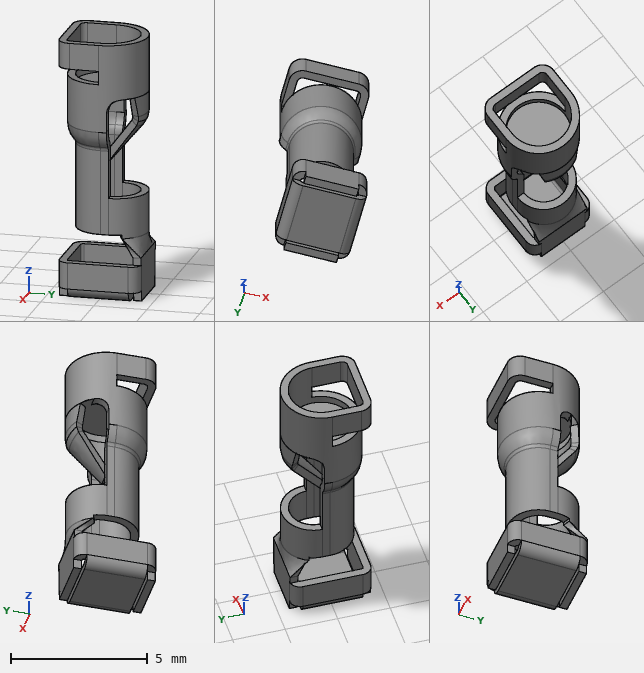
import cadquery as cq
import math

wall = 0.3
barrel_radius = 1.5
neck_radius = barrel_radius - wall
front_face_y = -1.6

total_height = 9.8
collar_bottom = 8.81
slot_bottom = 8.3
window_top = 7.7
barrel_bottom = 6.48
shoulder_crease = 5.84
neck_top = 5.69
band_top = 3.89
neck_bottom = 2.49
box_top = 1.38
box_wall_bottom = 0.38

collar_corner = 0.5
window_edge_y = wall
window_corner = 0.5

lance_bend_start = 6.95
lance_bend_radius = 0.735
lance_tilt = 40
lance_leg = 1.9
lance_root_angle = 36
lance_bend_angle = 29
lance_bend_end_angle = 25
lance_tip_angle = 10

strip_half_width = 1.1
twist_top = 2.35
twist_bottom = 1.67

box_half_width = 1.4
box_corner = 0.4
tab_half_width = box_half_width - box_corner
overlap = 0.01
cutter_size = 5.88


def block(x0, x1, y0, y1, z0, z1):
    return cq.Workplane("XY").box(x1 - x0, y1 - y0, z1 - z0, centered=False).translate((x0, y0, z0))


def rounded_tube(half_width, y0, y1, z0, z1, corner):
    """Rectangular tube with one wall thickness and rounded vertical edges."""
    outer = block(-half_width, half_width, y0, y1, z0, z1).edges("|Z").fillet(corner)
    inner_half = half_width - wall
    inner = block(-inner_half, inner_half, y0 + wall, y1 - wall, z0, z1)
    return outer.cut(inner.edges("|Z").fillet(corner - wall))


def d_prism(radius, front_y, corner, z0, z1):
    """Half disc behind Y = 0 joined to a square front with rounded corners."""
    front = block(-radius, radius, front_y, 0, z0, z1).edges("|Z and <Y").fillet(corner)
    disc = cq.Workplane("XY", origin=(0, 0, z0)).circle(radius).extrude(z1 - z0)
    return front.union(disc)


def make_collar():
    outer = d_prism(barrel_radius, front_face_y, collar_corner, collar_bottom, total_height)
    inner = d_prism(
        neck_radius, front_face_y + wall, collar_corner - wall, collar_bottom, total_height
    )
    return outer.cut(inner)


def make_barrel():
    """Round barrel, slotted at the front below the collar, with a closed floor."""
    ring = (
        cq.Workplane("XY", origin=(0, 0, barrel_bottom))
        .circle(barrel_radius)
        .circle(neck_radius)
        .extrude(collar_bottom - barrel_bottom)
    )
    slot = block(-barrel_radius, barrel_radius, -barrel_radius, 0, slot_bottom, collar_bottom)
    floor = cq.Workplane("XY", origin=(0, 0, window_top)).circle(neck_radius + overlap).extrude(wall)
    window_height = window_top - barrel_bottom
    window = (
        cq.Workplane("XY")
        .box(cutter_size, cutter_size, window_height, centered=(True, False, False))
        .translate((0, window_edge_y, barrel_bottom))
        .edges("|X and >Z and <Y")
        .fillet(window_corner)
    )
    return ring.cut(slot).cut(window).union(floor)


def neck_profile():
    """Wall section of shoulder and neck: two tangent arcs, then a straight."""
    drop = barrel_bottom - neck_top
    sweep = 2 * math.atan((barrel_radius - neck_radius) / drop)
    outer_bend = (barrel_bottom - shoulder_crease) / math.sin(sweep)
    lower_bend = (shoulder_crease - neck_top) / math.sin(sweep)
    upper_center = barrel_radius - outer_bend
    lower_center = neck_radius + lower_bend

    def upper_point(radius, angle):
        return (upper_center + radius * math.cos(angle), barrel_bottom - radius * math.sin(angle))

    def lower_point(radius, angle):
        return (lower_center - radius * math.cos(angle), neck_top + radius * math.sin(angle))

    inner_bend = outer_bend - wall
    inner_lower_bend = lower_bend + wall
    return (
        cq.Workplane("XZ")
        .moveTo(barrel_radius, barrel_bottom)
        .threePointArc(upper_point(outer_bend, sweep / 2), upper_point(outer_bend, sweep))
        .threePointArc(lower_point(lower_bend, sweep / 2), (neck_radius, neck_top))
        .lineTo(neck_radius, neck_bottom)
        .lineTo(neck_radius - wall, neck_bottom)
        .lineTo(neck_radius - wall, neck_top)
        .threePointArc(
            lower_point(inner_lower_bend, sweep / 2), lower_point(inner_lower_bend, sweep)
        )
        .threePointArc(upper_point(inner_bend, sweep / 2), (barrel_radius - wall, barrel_bottom))
        .close()
    )


def make_neck():
    """U-shaped channel: half round at the front with short straight sides."""
    full_round = neck_profile().revolve(360, (0, 0, 0), (0, 1, 0))
    half_space = block(-cutter_size, cutter_size, -cutter_size, 0, 0, total_height)
    side = neck_profile().extrude(-window_edge_y)
    return full_round.intersect(half_space).union(side).union(side.mirror("YZ"))


def make_band():
    """Half ring that closes the channel at the lower end of the neck."""
    ring = (
        cq.Workplane("XY", origin=(0, window_edge_y, neck_bottom))
        .circle(neck_radius)
        .circle(neck_radius - wall)
        .extrude(band_top - neck_bottom)
    )
    return ring.intersect(
        block(-cutter_size, cutter_size, window_edge_y, cutter_size, 0, total_height)
    )


def sector_wire(plane, outer_radius, center_y, half_angle):
    """Closed outline of a wall sector whose middle points along plane +Y."""
    def point(radius, angle):
        return (radius * math.sin(angle), center_y + radius * math.cos(angle))

    inner_radius = outer_radius - wall
    return (
        cq.Workplane(plane)
        .moveTo(*point(outer_radius, -half_angle))
        .threePointArc(point(outer_radius, 0), point(outer_radius, half_angle))
        .lineTo(*point(inner_radius, half_angle))
        .threePointArc(point(inner_radius, 0), point(inner_radius, -half_angle))
        .close()
        .val()
    )


def lance_section(y, z, tilt, half_angle):
    """Lance outline with the middle of its outer face at (0, y, z)."""
    slope = math.radians(tilt)
    plane = cq.Plane((0, y, z), (1, 0, 0), (0, math.sin(slope), math.cos(slope)))
    return sector_wire(plane, barrel_radius, -barrel_radius, math.radians(half_angle))


def make_lance():
    """Tapering tongue of barrel wall, bent inward through the window."""
    def bend_point(tilt):
        slope = math.radians(tilt)
        return (
            barrel_radius - lance_bend_radius * (1 - math.cos(slope)),
            lance_bend_start - lance_bend_radius * math.sin(slope),
        )

    middle_tilt = lance_tilt / 2
    middle_angle = (lance_bend_angle + lance_bend_end_angle) / 2
    slope = math.radians(lance_tilt)
    end_y, end_z = bend_point(lance_tilt)
    tip_y = end_y - lance_leg * math.sin(slope)
    tip_z = end_z - lance_leg * math.cos(slope)
    sections = [
        lance_section(barrel_radius, window_top + overlap, 0, lance_root_angle),
        lance_section(barrel_radius, lance_bend_start, 0, lance_bend_angle),
        lance_section(*bend_point(middle_tilt), middle_tilt, middle_angle),
        lance_section(end_y, end_z, lance_tilt, lance_bend_end_angle),
        lance_section(tip_y, tip_z, lance_tilt, lance_tip_angle),
    ]
    return cq.Workplane(cq.Solid.makeLoft(sections, True))


def make_transition():
    """Strip that changes from the band's curve to a flat plate above the box."""
    edge_angle = math.asin(strip_half_width / neck_radius)

    def curved(z):
        return sector_wire(cq.Plane((0, 0, z)), neck_radius, window_edge_y, edge_angle)

    def flat(z):
        back = barrel_radius
        corners = [
            (-strip_half_width, back),
            (strip_half_width, back),
            (strip_half_width, back - wall),
            (-strip_half_width, back - wall),
        ]
        return cq.Workplane("XY", origin=(0, 0, z)).polyline(corners).close().val()

    upper = cq.Workplane(cq.Solid.makeLoft([curved(neck_bottom + overlap), curved(twist_top)], True))
    twist = cq.Workplane(cq.Solid.makeLoft([curved(twist_top), flat(twist_bottom)], True))
    plate = block(
        -strip_half_width, strip_half_width, barrel_radius - wall, barrel_radius,
        box_top - overlap, twist_bottom,
    )
    return upper.union(twist).union(plate)


def make_box():
    """Rounded frame with end tabs and a floor folded in from the side walls."""
    frame = rounded_tube(
        box_half_width, front_face_y, barrel_radius, box_wall_bottom, box_top, box_corner
    )
    floor_front = front_face_y + box_corner
    floor_back = barrel_radius - box_corner
    trough = folded_floor(floor_front, floor_back)
    box = frame.union(trough)
    for tab_front in (front_face_y, barrel_radius - wall):
        tab = block(-tab_half_width, tab_half_width, tab_front, tab_front + wall, 0, box_top)
        box = box.union(tab)
    return box


def folded_floor(y0, y1):
    """Folded floor with rounded lower edges, open at both ends."""
    inner_half = box_half_width - wall
    outer = block(-box_half_width, box_half_width, y0, y1, 0, box_top)
    inner = block(-inner_half, inner_half, y0, y1, wall, box_top)
    lower_edges = "|Y and <Z"
    return outer.edges(lower_edges).fillet(box_corner).cut(
        inner.edges(lower_edges).fillet(box_corner - wall)
    )


result = (
    make_barrel()
    .union(make_collar())
    .union(make_neck())
    .union(make_band())
    .union(make_lance())
    .union(make_transition())
    .union(make_box())
)